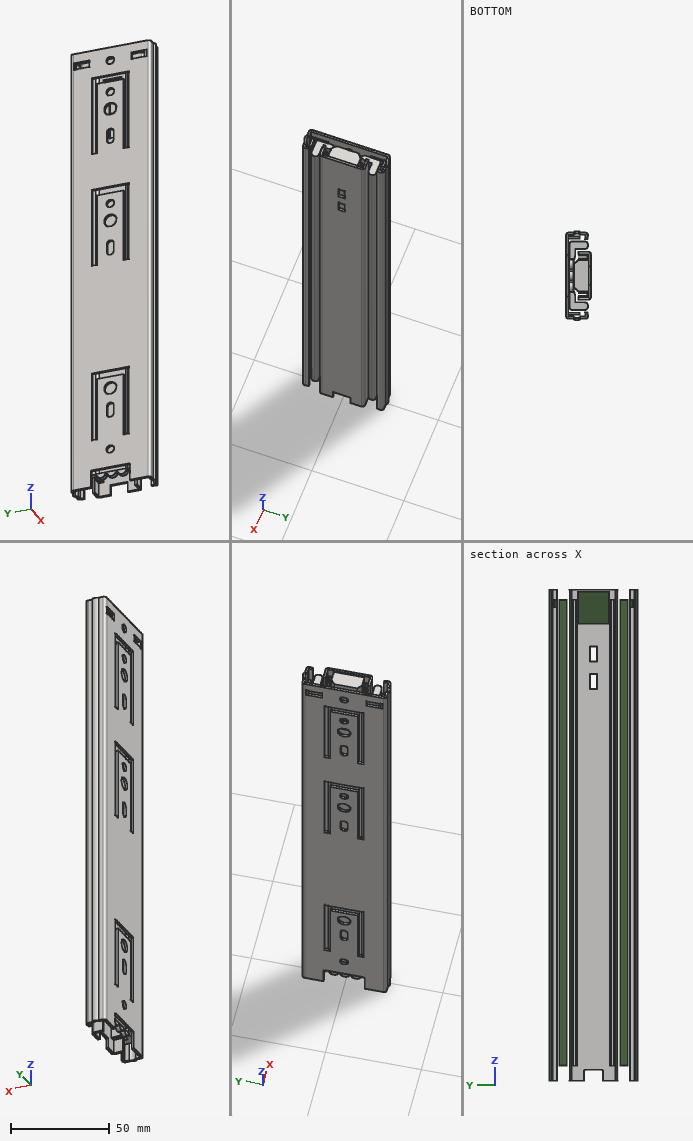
import cadquery as cq
import math


length = 250.0
depth = 12.8
half_width = 22.8
sheet = 1.2

outer_depth = 11.2
groove_rise = 0.8
outer_half = half_width - groove_rise
bend_radius = 1.5
lip_end_y = 18.5
lip_lean = 10
groove_start = 3.8
groove_end = 7.5

window_half = 10.2
tongue_half = 7.2
window_head = 3.8
round_hole = 6.8
small_hole = 4.2
slot_width = 3.8
slot_length = 8.2
upper_window_tops = (234.2, 170.2)
upper_window_length = 43.5
small_hole_drop = 9.8
upper_round_drop = 19.5
upper_slot_drop = 35.0
lower_window_top = 65.0
lower_window_length = 38.2
lower_round_drop = 10.2
lower_slot_drop = 22.8
end_hole_heights = (19.8, 242.5)
notch_half = 10.8
notch_height = 9.5
notch_corner = 0.8
stop_tab_bottom = 241.0
stop_tab_top = 244.8
stop_tab_tip_x = 7.0
stop_tab_outer_y = 20.0
stop_tab_bend = 1.0
stop_slot_inner_y = 11.5

middle_bottom = 7.8
middle_top = 244.8
middle_gap = 0.62
middle_face_x = sheet + middle_gap
middle_sheet = 1.0
channel_step = 1.0
channel_outer_y = 8.8
arm_inner_y = 10.0
arm_back_x = 4.8
arm_outer_y = 17.5
nose_inner_y = 13.5
nose_tip_x = 11.2
nose_radius = 1.8
arm_bend = 1.2
middle_opening_half = 5.0
middle_opening_bottom = 232.0
middle_opening_height = 1.5

inner_half = 12.2
inner_flange_x = 6.2
inner_notch_half = 4.8
inner_notch_height = 5.5
inner_notch_corner = 0.5
screw_slot_half = 1.8
screw_slot_heights = ((213.5, 221.0), (199.5, 207.0))

retainer_wall = 0.8
retainer_inner_y = 8.2
retainer_setback = 0.2
retainer_front_x = inner_flange_x + retainer_setback

block_bottom = 232.5
block_top = 249.0
block_half = 8.0
block_nose_half = 6.0
block_shoulder_x = 6.2
block_front_x = 4.0

bumper_half = 8.5
bumper_gap = 0.2
bumper_bottom = 5.0
bumper_base_height = 1.0
bumper_lobe_radius = 2.5
bumper_lobe_y = 5.8


def solid_box(x_range, y_range, z_range):
    """Box between the given limits along each axis."""
    size = [high - low for low, high in (x_range, y_range, z_range)]
    corner = (x_range[0], y_range[0], z_range[0])
    return cq.Workplane("XY").box(*size, centered=False).translate(corner)


def with_mirror(body):
    """Join a +Y half to its mirror image."""
    return body.union(body.mirror("XZ"))


def round_cutter(z, diameter):
    """Cylinder along X on the symmetry plane, long enough to cross every rail."""
    return cq.Workplane("YZ").center(0, z).circle(diameter / 2).extrude(depth)


def slot_cutter(z):
    """Upright round-ended slot along X on the symmetry plane, centred at height z."""
    return cq.Workplane("YZ").center(0, z).slot2D(slot_length, slot_width, 90).extrude(depth)


def window_cutter(top, window_length):
    """U-shaped opening that leaves a tongue joined to the web at its lower end."""
    opening = solid_box((0, sheet), (-window_half, window_half), (top - window_length, top))
    tongue = solid_box((0, sheet), (-tongue_half, tongue_half), (top - window_length, top - window_head))
    return opening.cut(tongue)


def outer_section():
    """Upper half of the C section: web, grooved flange and inward lip."""
    lip_bend_x = outer_depth - bend_radius
    lip_bend_y = outer_half - bend_radius
    lean = math.radians(lip_lean)
    lip_start = (lip_bend_x + bend_radius * math.cos(lean), lip_bend_y - bend_radius * math.sin(lean))
    lip_end_x = lip_start[0] - (lip_start[1] - lip_end_y) * math.tan(lean)
    inside_y = outer_half - sheet
    inside_x = outer_depth - sheet
    groove_x = (groove_start + groove_end) / 2
    bend_mid = bend_radius * (1 - math.sqrt(0.5))
    return (
        cq.Workplane("XY")
        .moveTo(0, 0)
        .lineTo(0, outer_half - bend_radius)
        .threePointArc((bend_mid, outer_half - bend_mid), (bend_radius, outer_half))
        .lineTo(groove_start, outer_half)
        .threePointArc((groove_x, half_width), (groove_end, outer_half))
        .lineTo(lip_bend_x, outer_half)
        .threePointArc((outer_depth - bend_mid, outer_half - bend_mid), lip_start)
        .lineTo(lip_end_x, lip_end_y)
        .lineTo(lip_end_x - sheet, lip_end_y)
        .lineTo(inside_x, inside_y)
        .lineTo(groove_end, inside_y)
        .threePointArc((groove_x, inside_y + groove_rise), (groove_start, inside_y))
        .lineTo(sheet, inside_y)
        .lineTo(sheet, 0)
        .close()
    )


def make_outer_rail():
    rail = with_mirror(outer_section().extrude(length))

    for top in upper_window_tops:
        rail = rail.cut(window_cutter(top, upper_window_length))
        rail = rail.cut(round_cutter(top - small_hole_drop, small_hole))
        rail = rail.cut(round_cutter(top - upper_round_drop, round_hole))
        rail = rail.cut(slot_cutter(top - upper_slot_drop))

    rail = rail.cut(window_cutter(lower_window_top, lower_window_length))
    rail = rail.cut(round_cutter(lower_window_top - lower_round_drop, round_hole))
    rail = rail.cut(slot_cutter(lower_window_top - lower_slot_drop))

    for height in end_hole_heights:
        rail = rail.cut(round_cutter(height, small_hole))

    notch = solid_box((0, sheet), (-notch_half, notch_half), (0, notch_height))
    rail = rail.cut(notch.edges("|X and >Z").fillet(notch_corner))

    tab_z = (stop_tab_bottom, stop_tab_top)
    tab_y = (stop_tab_outer_y - sheet, stop_tab_outer_y)
    slot = solid_box((0, sheet), (stop_slot_inner_y, stop_tab_outer_y), tab_z)
    tab = solid_box((0, stop_tab_tip_x), tab_y, tab_z)
    tab = tab.edges("|Z and <X and >Y").fillet(stop_tab_bend)
    return rail.cut(slot).cut(slot.mirror("XZ")).union(with_mirror(tab))


def make_intermediate_rail():
    """Web with a stepped channel, carried by a thick rounded arm on each side."""
    channel_x = middle_face_x + channel_step
    web_back_x = channel_x + middle_sheet
    arm_mid_x = (middle_face_x + nose_tip_x) / 2
    half_section = (
        cq.Workplane("XY")
        .moveTo(channel_x, 0)
        .lineTo(channel_x, tongue_half)
        .lineTo(middle_face_x, channel_outer_y)
        .lineTo(middle_face_x, arm_outer_y)
        .lineTo(nose_tip_x, arm_outer_y)
        .lineTo(nose_tip_x, nose_inner_y)
        .lineTo(arm_back_x, nose_inner_y)
        .lineTo(arm_back_x, arm_inner_y)
        .lineTo(web_back_x, tongue_half)
        .lineTo(web_back_x, 0)
        .close()
        .extrude(middle_top - middle_bottom)
    )
    nose_region = cq.selectors.BoxSelector(
        (arm_mid_x, arm_inner_y, 0), (depth, half_width, length)
    )
    half = half_section.edges("|Z").edges(nose_region).fillet(nose_radius)
    half = half.edges("|Z and >Y").edges("<X").fillet(arm_bend)
    rail = with_mirror(half.translate((0, 0, middle_bottom)))

    opening_z = (middle_opening_bottom, middle_opening_bottom + middle_opening_height)
    rail = rail.cut(solid_box((0, arm_back_x), (-middle_opening_half, middle_opening_half), opening_z))
    return cut_screw_slots(rail)


def cut_screw_slots(rail):
    """Cut the two upright screw slots through the whole depth of a rail."""
    for slot_z in screw_slot_heights:
        rail = rail.cut(solid_box((0, depth), (-screw_slot_half, screw_slot_half), slot_z))
    return rail


def make_inner_rail():
    """Channel opening toward the intermediate rail, notched at the lower end."""
    shell = solid_box((inner_flange_x, depth), (-inner_half, inner_half), (0, length))
    shell = shell.edges("|Z and >X").fillet(bend_radius)
    inside = inner_half - sheet
    rail = shell.cut(solid_box((inner_flange_x, depth - sheet), (-inside, inside), (0, length)))

    notch = solid_box(
        (depth - sheet, depth), (-inner_notch_half, inner_notch_half), (0, inner_notch_height)
    )
    rail = rail.cut(notch.edges("|X and >Z").fillet(inner_notch_corner))
    return cut_screw_slots(rail)


def make_retainer(side):
    """Thin U-shaped strip lining one inner flange; side is +1 or -1 along Y."""
    outer_y = inner_half - sheet
    back_x = depth - sheet
    z_range = (middle_bottom, middle_top)
    strip = solid_box((retainer_front_x, back_x), (retainer_inner_y, outer_y), z_range)
    hollow = solid_box(
        (retainer_front_x, back_x - retainer_wall),
        (retainer_inner_y + retainer_wall, outer_y - retainer_wall),
        z_range,
    )
    retainer = strip.cut(hollow)
    return retainer if side > 0 else retainer.mirror("XZ")


def make_end_block():
    """Tapered block closing the upper end of the inner rail."""
    back_x = depth - sheet
    return (
        cq.Workplane("XY")
        .polyline([
            (block_front_x, -block_nose_half),
            (block_shoulder_x, -block_half),
            (back_x, -block_half),
            (back_x, block_half),
            (block_shoulder_x, block_half),
            (block_front_x, block_nose_half),
        ])
        .close()
        .extrude(block_top - block_bottom)
        .translate((0, 0, block_bottom))
    )


def make_bumper():
    """Plate below the channel web with three rounded lobes along its lower edge."""
    front_x = sheet + bumper_gap
    thickness = middle_face_x + channel_step + middle_sheet - front_x
    base_bottom = middle_bottom - bumper_base_height
    bumper = solid_box(
        (front_x, front_x + thickness), (-bumper_half, bumper_half), (base_bottom, middle_bottom)
    )
    lobe_centre_z = bumper_bottom + bumper_lobe_radius
    for y in (-bumper_lobe_y, 0, bumper_lobe_y):
        lobe = (
            cq.Workplane("YZ")
            .center(y, lobe_centre_z)
            .circle(bumper_lobe_radius)
            .extrude(thickness)
            .translate((front_x, 0, 0))
        )
        bumper = bumper.union(lobe)
    headroom = solid_box((0, depth), (-half_width, half_width), (middle_bottom, length))
    return bumper.cut(headroom)


outer_rail = make_outer_rail()
intermediate_rail = make_intermediate_rail()
inner_rail = make_inner_rail()
retainers = [make_retainer(side) for side in (1, -1)]
end_block = make_end_block()
bumper = make_bumper()

result = cq.Compound.makeCompound([
    outer_rail.val(),
    intermediate_rail.val(),
    inner_rail.val(),
    *[retainer.val() for retainer in retainers],
    end_block.val(),
    bumper.val(),
])